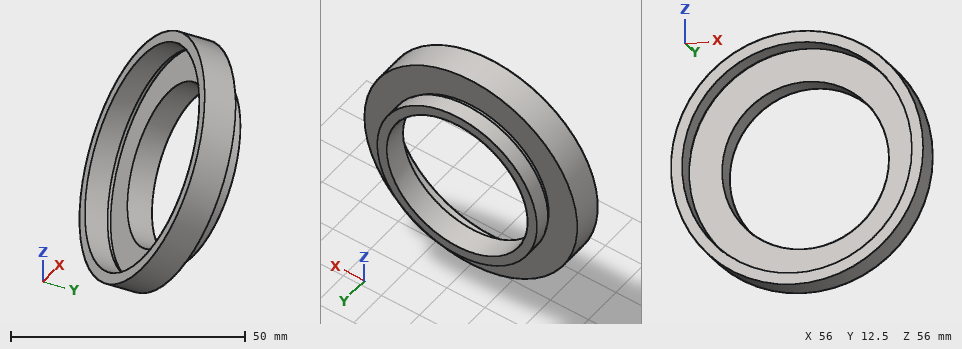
import cadquery as cq

flange_diameter = 56.0
recess_diameter = 51.0
spigot_diameter = 42.0
groove_diameter = 41.0
bore_diameter = 37.0

total_length = 12.5
flange_length = 7.5
groove_length = 1.0
spigot_length = total_length - flange_length - groove_length
recess_depth = 6.5
undercut_diameter = 52.0
undercut_width = 1.0


def cylinder(diameter, start, length):
    """Cylinder along +Y whose front face lies at Y = start."""
    plane = cq.Workplane("XZ", origin=(0, start, 0))
    return plane.circle(diameter / 2).extrude(-length)


flange = cylinder(flange_diameter, 0, flange_length)
neck = cylinder(groove_diameter, flange_length, groove_length)
spigot = cylinder(spigot_diameter, flange_length + groove_length, spigot_length)
body = flange.union(neck).union(spigot)

recess = cylinder(recess_diameter, 0, recess_depth)
undercut = cylinder(undercut_diameter, recess_depth - undercut_width, undercut_width)
bore = cylinder(bore_diameter, 0, total_length)

result = body.cut(recess).cut(undercut).cut(bore)